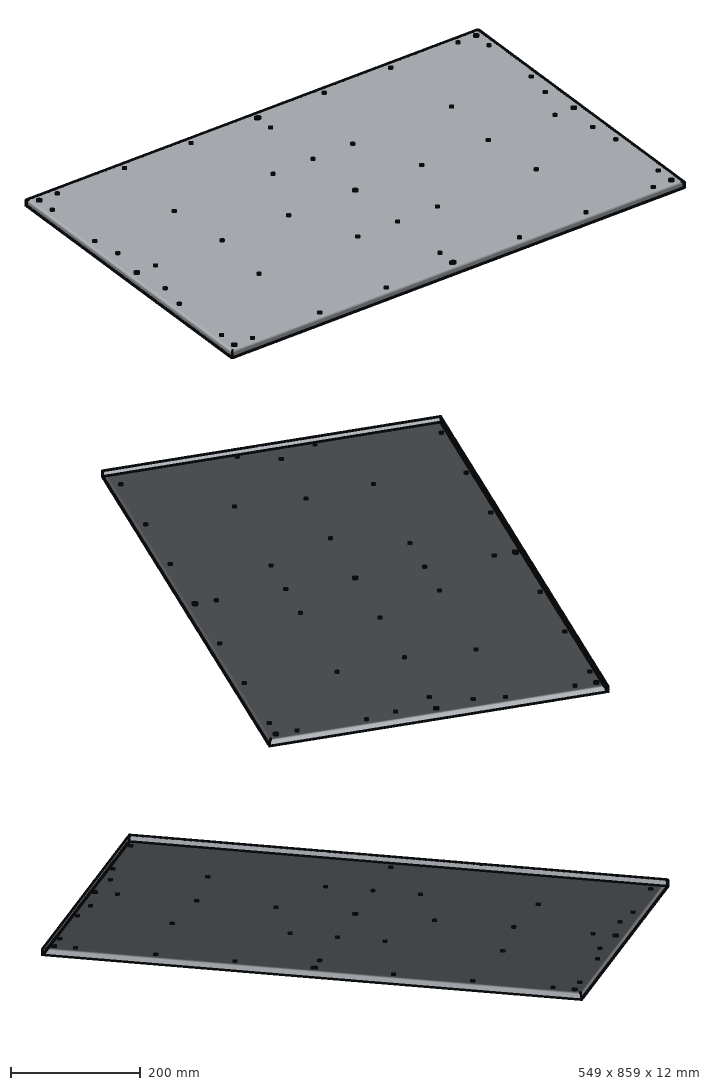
import cadquery as cq

WIDTH = 549.0
LENGTH = 859.0
HEIGHT = 12.0
WALL = 1.5
RIM_RADIUS = 4.0

MOUNT_MARGIN = 15.0
SIDE_COLUMN = WIDTH / 2 - MOUNT_MARGIN
MOUNT_ROW = LENGTH / 2 - MOUNT_MARGIN
COLUMN_PITCH = 112.5
ROW_PITCH = 126.25
END_SCREW_ROW = 414.0
MIDDLE_SCREW_ROW = 75.5
INNER_SCREW_X = 63.0
INNER_SCREW_Y = 405.5
SIDE_CLEARANCE_ROW = 380.0
INNER_CLEARANCE_ROW = 263.0

MOUNT_DIA = 7.0
SCREW_DIA = 5.0
SLOT_LENGTH = 9.0
SLOT_WIDTH = MOUNT_DIA

MOUNT_HOLES = [
    (0, 0),
    (0, MOUNT_ROW),
    (SIDE_COLUMN, MOUNT_ROW),
]
SCREW_HOLES = [
    (0, ROW_PITCH),
    (0, 2 * ROW_PITCH),
    (0, 3 * ROW_PITCH),
    (INNER_SCREW_X, INNER_SCREW_Y),
    (COLUMN_PITCH, 0),
    (COLUMN_PITCH, MIDDLE_SCREW_ROW),
    (COLUMN_PITCH, INNER_CLEARANCE_ROW),
    (COLUMN_PITCH, END_SCREW_ROW),
    (2 * COLUMN_PITCH, 0),
    (2 * COLUMN_PITCH, END_SCREW_ROW),
    (SIDE_COLUMN, ROW_PITCH),
    (SIDE_COLUMN, 2 * ROW_PITCH),
    (SIDE_COLUMN, SIDE_CLEARANCE_ROW),
]


def mirrored(x, y):
    """Return (x, y) with its mirror images about both centre lines, without repeats."""
    return sorted({(sx * x, sy * y) for sx in (1, -1) for sy in (1, -1)})


def tray():
    """Round the top rim of a block, then hollow it from below."""
    block = cq.Workplane().box(WIDTH, LENGTH, HEIGHT, centered=(True, True, False))
    rounded = block.faces(">Z").edges().fillet(RIM_RADIUS)
    return rounded.faces("<Z").shell(-WALL)


def round_holes(diameter, places):
    """Cutting cylinders at every place and its mirror images."""
    points = [point for place in places for point in mirrored(*place)]
    return cq.Workplane().pushPoints(points).circle(diameter / 2).extrude(HEIGHT)


def side_slots():
    """Cutting tools for the lengthwise slots halfway along both long sides."""
    centres = cq.Workplane().pushPoints(mirrored(SIDE_COLUMN, 0))
    return centres.slot2D(SLOT_LENGTH, SLOT_WIDTH, 90).extrude(HEIGHT)


result = (
    tray()
    .cut(round_holes(MOUNT_DIA, MOUNT_HOLES))
    .cut(round_holes(SCREW_DIA, SCREW_HOLES))
    .cut(side_slots())
)